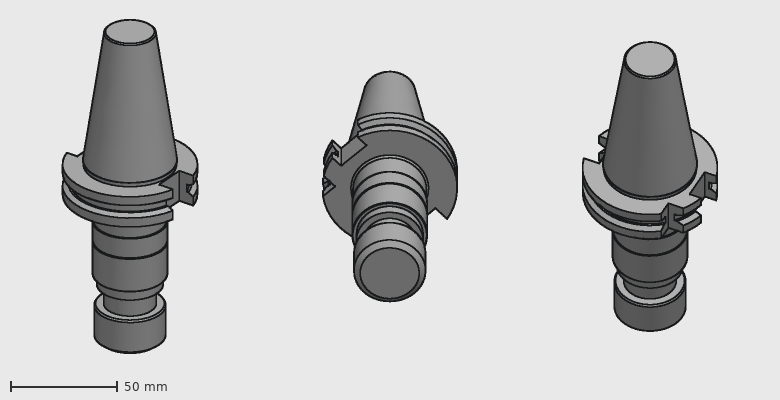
import cadquery as cq

total_height = 165.5
gauge_z = 96.3
flange_top_z = 94.1
groove_top_z = 89.5
groove_floor_top_z = 88.0
groove_floor_bottom_z = 84.2
groove_bottom_z = 82.7
flange_bottom_z = 78.0
collar_top_z = 64.0
collar_seam_z = 53.1
collar_bottom_z = 35.0
spigot_bottom_z = 29.6
nut_top_z = 19.2

gauge_diameter = 44.5
taper_ratio = 7 / 24
neck_diameter = 44.0
flange_diameter = 63.5
groove_diameter = 56.1
groove_flank_width = 2.6
shank_diameter = 34.5
collar_diameter = 35.4
spigot_diameter = 31.5
stem_diameter = 24.8
nut_diameter = 33.8

tip_chamfer = 0.7
shank_flare = 1.0
seam_chamfer = 0.3
nut_top_inset = 0.7
nut_top_height = 1.0
nut_face_inset = 3.0
nut_face_height = 2.3

drive_slot_width = 16.4
left_slot_floor = 24.7
right_slot_floor = 22.7
notch_x = 18.4
notch_y = 18.0


def section(bottom_z, top_z, diameter):
    """Solid cylinder on the spindle axis."""
    height = top_z - bottom_z
    return cq.Workplane("XY").workplane(offset=bottom_z).circle(diameter / 2).extrude(height)


def make_taper():
    """7:24 cone from the gauge line to the chamfered tip."""
    gauge_radius = gauge_diameter / 2
    tip_radius = gauge_radius - (total_height - gauge_z) * taper_ratio / 2
    profile = [
        (0, gauge_z),
        (gauge_radius, gauge_z),
        (tip_radius, total_height),
        (0, total_height),
    ]
    cone = cq.Workplane("XZ").polyline(profile).close().revolve(360, (0, 0), (0, 1))
    return cone.faces(">Z").chamfer(tip_chamfer)


def flange_cutter(x_min, x_max, y_min, y_max):
    """Block that cuts through the full flange thickness."""
    return (
        cq.Workplane("XY")
        .workplane(offset=flange_bottom_z)
        .moveTo((x_min + x_max) / 2, (y_min + y_max) / 2)
        .rect(x_max - x_min, y_max - y_min)
        .extrude(flange_top_z - flange_bottom_z)
    )


def make_flange():
    """Flange with a sloped-edge groove, two drive slots and one corner notch."""
    rim = flange_diameter / 2
    groove = groove_diameter / 2
    flank = rim - groove_flank_width
    profile = [
        (0, flange_bottom_z),
        (rim, flange_bottom_z),
        (rim, groove_bottom_z),
        (flank, groove_floor_bottom_z),
        (groove, groove_floor_bottom_z),
        (groove, groove_floor_top_z),
        (flank, groove_floor_top_z),
        (rim, groove_top_z),
        (rim, flange_top_z),
        (0, flange_top_z),
    ]
    flange = cq.Workplane("XZ").polyline(profile).close().revolve(360, (0, 0), (0, 1))
    half_slot = drive_slot_width / 2
    flange = flange.cut(flange_cutter(-rim, -left_slot_floor, -half_slot, half_slot))
    flange = flange.cut(flange_cutter(right_slot_floor, rim, -half_slot, half_slot))
    return flange.cut(flange_cutter(-rim, -notch_x, notch_y, rim))


def make_nut():
    """Clamping nut with a broad lead-in chamfer on its free face."""
    nut = section(0, nut_top_z, nut_diameter)
    nut = nut.faces(">Z").edges().chamfer(nut_top_height, nut_top_inset)
    return nut.faces("<Z").edges().chamfer(nut_face_height, nut_face_inset)


def make_shank():
    """Shank that flares out at 45 degrees where it meets the flange."""
    radius = shank_diameter / 2
    profile = [
        (0, collar_top_z),
        (radius, collar_top_z),
        (radius, flange_bottom_z - shank_flare),
        (radius + shank_flare, flange_bottom_z),
        (0, flange_bottom_z),
    ]
    return cq.Workplane("XZ").polyline(profile).close().revolve(360, (0, 0), (0, 1))


def make_collar(bottom_z, top_z):
    """Collar ring with both rims broken, leaving a fine V at each seam."""
    return section(bottom_z, top_z, collar_diameter).faces("<Z or >Z").chamfer(seam_chamfer)


parts = [
    make_taper(),
    section(flange_top_z, gauge_z, neck_diameter),
    make_flange(),
    make_shank(),
    make_collar(collar_seam_z, collar_top_z),
    make_collar(collar_bottom_z, collar_seam_z),
    section(spigot_bottom_z, collar_bottom_z, spigot_diameter),
    section(nut_top_z, spigot_bottom_z, stem_diameter),
]

result = make_nut()
for part in parts:
    result = result.union(part)